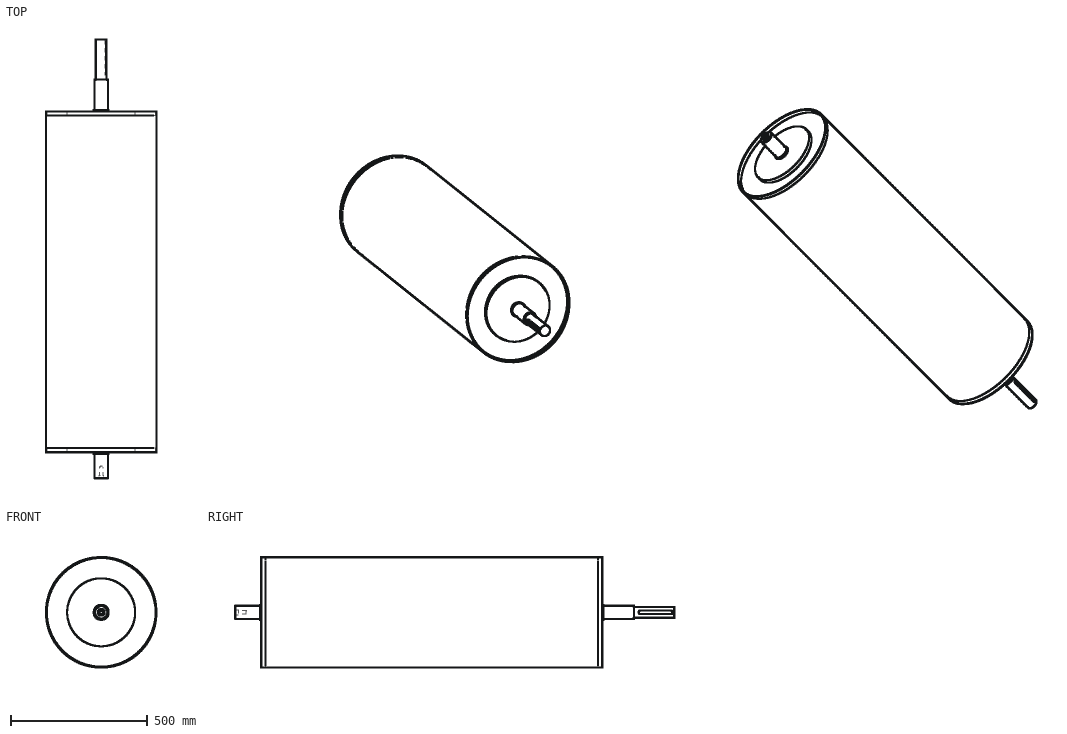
import cadquery as cq

body_length = 1251.0
body_diameter = 405.0
front_journal_length = 95.0
total_length = 1610
back_journal_length = total_length - body_length - front_journal_length

recess_diameter = 400.0
recess_depth = 16.0
hub_diameter = 250.0
hub_height = 15.0

journal_diameter = 50.0
collar_diameter = 55.0
collar_projection = 5.0
drive_diameter = 40.0
drive_length = 148.0
journal_chamfer = 2.0

key_width = 13.8
key_depth = 5.5
key_length = 124.0
key_end_margin = 6.0

hole_diameter = 13.8
hole_depth = 40.0
relief_diameter = 18.0
relief_depth = 11.0
hole_mouth_diameter = 24.0

front_face = -body_length / 2
back_face = body_length / 2
front_end = front_face - front_journal_length
back_end = back_face + back_journal_length
drive_shoulder = back_end - drive_length


def cylinder(diameter, start, end):
    """Solid cylinder on the Y axis between two Y positions."""
    base = cq.Workplane("XZ", origin=(0, start, 0))
    return base.circle(diameter / 2).extrude(start - end)


def body():
    """Roller drum with a shallow recess and a raised hub at each end."""
    drum = cylinder(body_diameter, front_face, back_face)
    for side in (-1, 1):
        face = side * body_length / 2
        floor = face - side * recess_depth
        drum = drum.cut(cylinder(recess_diameter, floor, face))
        drum = drum.union(cylinder(hub_diameter, floor, floor + side * hub_height))
    return drum


def shaft():
    """Stepped shaft with collars just outside the body."""
    journal = cylinder(journal_diameter, front_end, drive_shoulder)
    journal = journal.faces("<Y").chamfer(journal_chamfer)
    collars = cylinder(collar_diameter, front_face - collar_projection, back_face + collar_projection)
    drive = cylinder(drive_diameter, drive_shoulder, back_end)
    return journal.union(collars).union(drive)


def keyway():
    """Round-ended slot sunk into the +X side of the drive end."""
    key_centre = back_end - key_end_margin - key_length / 2
    floor = drive_diameter / 2 - key_depth
    plane = cq.Workplane("YZ", origin=(floor, key_centre, 0))
    return plane.slot2D(key_length, key_width).extrude(drive_diameter)


def centre_hole():
    """Stepped blind hole with a 45 degree countersink and a 45 degree conical tip."""
    bore_radius = hole_diameter / 2
    relief_radius = relief_diameter / 2
    mouth_radius = hole_mouth_diameter / 2
    profile = (
        cq.Workplane("XY", origin=(0, front_end, 0))
        .lineTo(mouth_radius, 0)
        .lineTo(relief_radius, mouth_radius - relief_radius)
        .lineTo(relief_radius, relief_depth)
        .lineTo(bore_radius, relief_depth)
        .lineTo(bore_radius, hole_depth)
        .lineTo(0, hole_depth + bore_radius)
        .close()
    )
    return profile.revolve(360, (0, 0), (0, 1))


result = body().union(shaft()).cut(keyway()).cut(centre_hole())